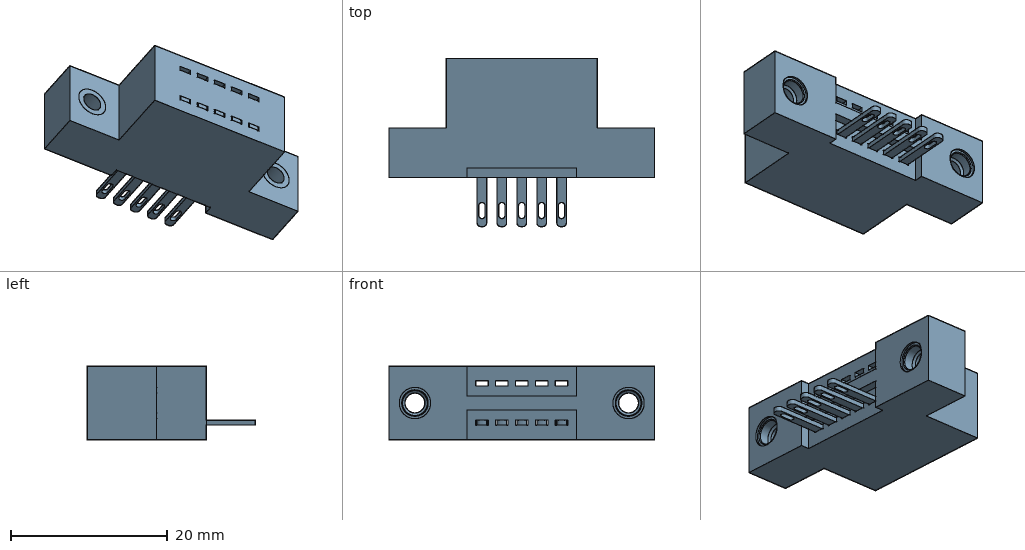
import cadquery as cq


length = 33.9
height = 9.4
ear_depth = 6.35
housing_depth = 15.23
nose_width = 19.3

pocket_width = 14.0
pocket_depth = 1.22
web_height = 1.73

contact_count = 5
contact_pitch = 2.55
row_offset = 2.5
cavity_width = 1.55
cavity_height = 0.65

overall_depth = 21.5
contact_width = 1.25
contact_corner = 0.5
contact_reach = overall_depth - housing_depth
eyelet_length = 2.05
eyelet_width = 0.78
eyelet_setback = 2.07

insert_offset = 13.63
insert_radius = 2.0
insert_recess = 0.27
mouth_radius = 1.7
mouth_chamfer = 0.15
bore_radius = 1.6
bore_depth = 1.42
shoulder_radius = 1.5
shoulder_length = 0.07
rear_bore_radius = 1.25
lead_in_length = 0.17

contact_places = [(i - (contact_count - 1) / 2) * contact_pitch for i in range(contact_count)]
insert_places = [-insert_offset, insert_offset]


def block(width, y_front, y_rear, z_low, z_high):
    """A box centred on X = 0 between the given Y and Z limits."""
    size = (width, y_rear - y_front, z_high - z_low)
    return cq.Workplane("XY").box(*size, centered=(True, False, False)).translate((0, y_front, z_low))


def make_housing():
    ears = block(length, 0, ear_depth, -height / 2, height / 2)
    nose = block(nose_width, 0, housing_depth, -height / 2, height / 2)
    body = ears.union(nose)

    body = body.cut(block(pocket_width, 0, pocket_depth, web_height / 2, height / 2))
    body = body.cut(block(pocket_width, 0, pocket_depth, -height / 2, -web_height / 2))

    for z_row in (-row_offset, row_offset):
        z_low = z_row - cavity_height / 2
        z_high = z_row + cavity_height / 2
        cavity = block(cavity_width, 0, housing_depth, z_low, z_high)
        for x in contact_places:
            body = body.cut(cavity.translate((x, 0, 0)))

    for x in insert_places:
        hole = cq.Workplane("XZ").circle(insert_radius).extrude(-ear_depth)
        body = body.cut(hole.translate((x, 0, 0)))
    return body


def make_contact(x):
    """A flat contact with a rounded tip and an eyelet, ending flush with the rear of the housing."""
    z_low = -row_offset - cavity_height / 2
    z_high = -row_offset + cavity_height / 2
    blade = block(contact_width, -contact_reach, housing_depth, z_low, z_high)
    blade = blade.edges("|Z and <Y").fillet(contact_corner)
    eyelet = (
        cq.Workplane("XY", origin=(0, -contact_reach + eyelet_setback, z_low))
        .slot2D(eyelet_length, eyelet_width, 90)
        .extrude(cavity_height)
    )
    return blade.cut(eyelet).translate((x, 0, 0))


def make_insert(x):
    """A sleeve set back from the front face, with a chamfered mouth and a bore that narrows."""
    mouth_end = insert_recess + mouth_chamfer
    bore_end = insert_recess + bore_depth
    shoulder_end = bore_end + shoulder_length
    lead_in_end = shoulder_end + lead_in_length
    profile = [
        (insert_radius, insert_recess),
        (mouth_radius, insert_recess),
        (bore_radius, mouth_end),
        (bore_radius, bore_end),
        (shoulder_radius, shoulder_end),
        (rear_bore_radius, lead_in_end),
        (rear_bore_radius, ear_depth),
        (insert_radius, ear_depth),
    ]
    sleeve = cq.Workplane("XY").polyline(profile).close().revolve(360, (0, 0, 0), (0, 1, 0))
    return sleeve.translate((x, 0, 0))


housing = make_housing()
contacts = [make_contact(x) for x in contact_places]
inserts = [make_insert(x) for x in insert_places]

bodies = [housing, *contacts, *inserts]
result = cq.Compound.makeCompound([body.val() for body in bodies])